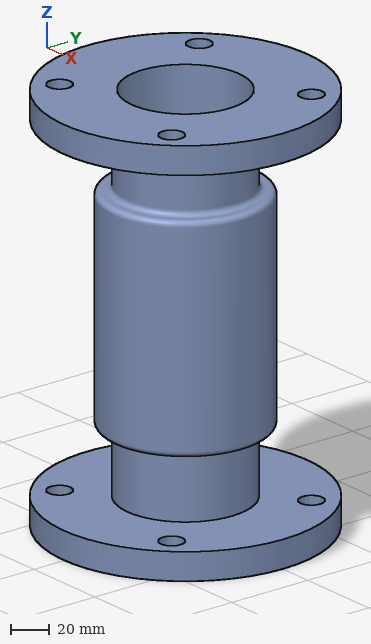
import cadquery as cq

total_length = 240.0
flange_diameter = 160.0
flange_thickness = 16.3

bore_diameter = 70.3
neck_diameter = 75.8
sleeve_diameter = 93.8
sleeve_length = 130.0
blend_radius = 3.0

bolt_circle_diameter = 130.0
bolt_hole_diameter = 14.0
bolt_count = 4
first_bolt_angle = 45.0

half_length = total_length / 2
flange_inner_face = half_length - flange_thickness
sleeve_end = sleeve_length / 2


def cylinder(diameter, bottom, top):
    """Upright cylinder on the Z axis between two heights."""
    return cq.Workplane("XY").workplane(offset=bottom).circle(diameter / 2).extrude(top - bottom)


def tube_body():
    """Solid neck and sleeve with rounded shoulders."""
    neck = cylinder(neck_diameter, -half_length, half_length)
    sleeve = cylinder(sleeve_diameter, -sleeve_end, sleeve_end)
    shoulders = cq.selectors.BoxSelector(
        (-sleeve_diameter, -sleeve_diameter, -sleeve_end - blend_radius),
        (sleeve_diameter, sleeve_diameter, sleeve_end + blend_radius),
    )
    return neck.union(sleeve).edges("%CIRCLE").edges(shoulders).fillet(blend_radius)


def flange_pair():
    """Round flanges closing both ends."""
    lower = cylinder(flange_diameter, -half_length, -flange_inner_face)
    upper = cylinder(flange_diameter, flange_inner_face, half_length)
    return lower, upper


def bolt_holes():
    """Cutters running the full length, so that both flanges are drilled in line."""
    return (
        cq.Workplane("XY")
        .workplane(offset=-half_length)
        .polarArray(bolt_circle_diameter / 2, first_bolt_angle, 360, bolt_count)
        .circle(bolt_hole_diameter / 2)
        .extrude(total_length)
    )


result = tube_body()
for flange in flange_pair():
    result = result.union(flange)
result = result.cut(cylinder(bore_diameter, -half_length, half_length))
result = result.cut(bolt_holes())